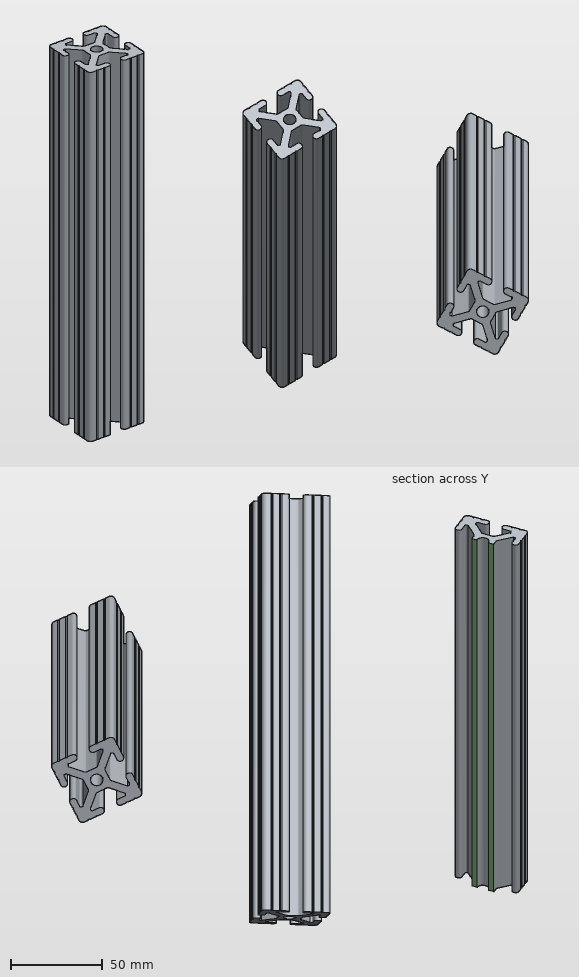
import cadquery as cq
import math

length = 231.8
side = 38.0
corner_radius = 2.3

core_width = 13.2
bore_diameter = 6.7

slot_width = 7.9
lip_thickness = 4.0
lip_radius = 1.9
pocket_width = 20.9
web_thickness = 4.5
core_fillet = 1.6
pocket_fillet = 0.7

groove_offsets = (9.0, 14.0)
groove_width = 1.2
groove_depth = 0.35

half_side = side / 2
half_slot = slot_width / 2
half_pocket = pocket_width / 2
half_core = core_width / 2
lip_inner = half_side - lip_thickness
web_offset = web_thickness / math.sqrt(2)


def make_bar():
    """Square bar with rounded long corners."""
    return cq.Workplane("XY").rect(side, side).extrude(length).edges("|Z").fillet(corner_radius)


def make_pocket():
    """Undercut pocket behind the lips on the +Y side, tapering along the webs to the core."""
    core_corner = half_core - web_offset
    pocket_corner = half_pocket + web_offset
    pocket = (
        cq.Workplane("XY")
        .moveTo(-core_corner, half_core)
        .lineTo(core_corner, half_core)
        .lineTo(half_pocket, pocket_corner)
        .lineTo(half_pocket, lip_inner)
        .lineTo(-half_pocket, lip_inner)
        .lineTo(-half_pocket, pocket_corner)
        .close()
        .extrude(length)
    )
    pocket = pocket.faces("<Y").edges("|Z").fillet(core_fillet)
    return pocket.faces(">Y").edges("|Z").fillet(pocket_fillet)


def make_slot_mouth():
    """Opening between the lips on the +Y side, flared by the rounded lip ends."""
    flare = half_slot + lip_radius
    return (
        cq.Workplane("XY")
        .moveTo(-flare, half_side)
        .radiusArc((-half_slot, half_side - lip_radius), lip_radius)
        .lineTo(-half_slot, lip_inner + lip_radius)
        .radiusArc((-flare, lip_inner), lip_radius)
        .lineTo(flare, lip_inner)
        .radiusArc((half_slot, lip_inner + lip_radius), lip_radius)
        .lineTo(half_slot, half_side - lip_radius)
        .radiusArc((flare, half_side), lip_radius)
        .close()
        .extrude(length)
    )


def make_groove(offset):
    """V groove in the +Y face, centred at X = offset."""
    return (
        cq.Workplane("XY")
        .moveTo(offset - groove_width / 2, half_side)
        .lineTo(offset, half_side - groove_depth)
        .lineTo(offset + groove_width / 2, half_side)
        .close()
        .extrude(length)
    )


def make_side_cut():
    """Everything removed from the +Y side of the bar."""
    cut = make_pocket().union(make_slot_mouth())
    for offset in groove_offsets:
        cut = cut.union(make_groove(offset)).union(make_groove(-offset))
    return cut


side_cut = make_side_cut()
result = make_bar()
for quarter_turn in range(4):
    result = result.cut(side_cut.rotate((0, 0, 0), (0, 0, 1), 90 * quarter_turn))

result = result.cut(cq.Workplane("XY").circle(bore_diameter / 2).extrude(length))